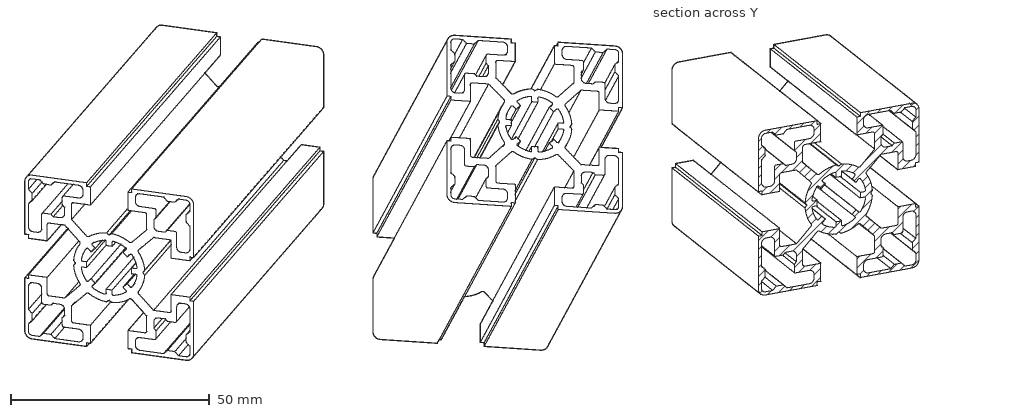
import cadquery as cq
import math

LENGTH = 100.0
WIDTH = 45.0
HALF_WIDTH = WIDTH / 2
CORNER_RADIUS = 2.0

SLOT_HALF_OPENING = 5.0
SLOT_HALF_CAVITY = 10.0
LIP_THICKNESS = 6.0
LIP_STEP = 1.0
CAVITY_RADIUS = 0.5
LIP_INNER_FACE = HALF_WIDTH - LIP_THICKNESS

SKIN = 1.0
CHAMBER_WALL = HALF_WIDTH - SKIN
CHAMBER_INNER_RADIUS = CORNER_RADIUS - SKIN
ARM_HEIGHT = 3.5
ARM_END = SLOT_HALF_OPENING + 2.0
ARM_FLOOR = CHAMBER_WALL - ARM_HEIGHT
ARM_END_RADIUS = 1.2
SHOULDER_FACE = 12.5
SHOULDER_END = 15.5
SHOULDER_RADIUS = 0.5
CHAMBER_FLOOR = 11.9
CHAMBER_FLOOR_RADIUS = 1.2

PAD_HALF_WIDTH = 1.0
PAD_HEIGHT = 1.0

TUBE_RADIUS = 9.5
BORE_RADIUS = 7.5
WEB_THICKNESS = 2.6
WEB_ANGLE = 45
WEB_ROOT_RADIUS = 0.5
RIB_COUNT = 8
RIB_TIP = 6.0
RIB_HALF_WIDTH = 0.8
RIB_ROOT_RADIUS = 0.3
GROOVE_HALF_WIDTH = 0.7
GROOVE_DEPTH = 0.5

SLOT_COUNT = 4
AXIS_START = (0, 0, 0)
AXIS_END = (0, 1, 0)


def bar(outline):
    """Extrude a closed outline of (x, z) points along the full length in Y."""
    return cq.Workplane("XZ").polyline(outline).close().extrude(LENGTH / 2, both=True)


def mirrored_outline(points):
    """Close a run between two points on the x = z diagonal with its mirror image."""
    return points + [(z, x) for x, z in points[-2:0:-1]]


def round_edges(body, points, radius):
    """Fillet the lengthwise edges passing through the given (x, z) points."""
    for x, z in points:
        body = body.edges(cq.selectors.NearestToPointSelector((x, 0, z))).fillet(radius)
    return body


def both_sides(x, z):
    """Return a point and its mirror image across the x = z diagonal."""
    return [(x, z), (z, x)]


def repeat_around(body, count):
    """Unite equally spaced copies of a body turned about the Y axis."""
    pattern = body
    for index in range(1, count):
        pattern = pattern.union(body.rotate(AXIS_START, AXIS_END, index * 360 / count))
    return pattern


def junction_points(radius, half_width, count, first_angle):
    """Return the points where the sides of radial bars meet a circle about the Y axis."""
    offset = math.asin(half_width / radius)
    points = []
    for index in range(count):
        middle = math.radians(first_angle + index * 360 / count)
        for angle in (middle - offset, middle + offset):
            points.append((radius * math.cos(angle), radius * math.sin(angle)))
    return points


def corner_block():
    block = bar(mirrored_outline([
        (HALF_WIDTH, HALF_WIDTH),
        (SLOT_HALF_OPENING + LIP_STEP, HALF_WIDTH),
        (SLOT_HALF_OPENING + LIP_STEP, HALF_WIDTH - LIP_STEP),
        (SLOT_HALF_OPENING, HALF_WIDTH - LIP_STEP),
        (SLOT_HALF_OPENING, LIP_INNER_FACE),
        (SLOT_HALF_CAVITY, LIP_INNER_FACE),
        (SLOT_HALF_CAVITY, SLOT_HALF_CAVITY),
    ]))
    block = round_edges(block, both_sides(SLOT_HALF_CAVITY, LIP_INNER_FACE), CAVITY_RADIUS)
    return round_edges(block, [(HALF_WIDTH, HALF_WIDTH)], CORNER_RADIUS)


def corner_chamber():
    shoulder_rise = SHOULDER_FACE - CHAMBER_FLOOR
    chamber = bar(mirrored_outline([
        (CHAMBER_WALL, CHAMBER_WALL),
        (LIP_INNER_FACE + PAD_HALF_WIDTH + PAD_HEIGHT, CHAMBER_WALL),
        (LIP_INNER_FACE + PAD_HALF_WIDTH, CHAMBER_WALL - PAD_HEIGHT),
        (LIP_INNER_FACE - PAD_HALF_WIDTH, CHAMBER_WALL - PAD_HEIGHT),
        (LIP_INNER_FACE - PAD_HALF_WIDTH - PAD_HEIGHT, CHAMBER_WALL),
        (ARM_END, CHAMBER_WALL),
        (ARM_END, ARM_FLOOR),
        (SHOULDER_FACE, ARM_FLOOR),
        (SHOULDER_FACE, SHOULDER_END),
        (CHAMBER_FLOOR, SHOULDER_END - shoulder_rise),
        (CHAMBER_FLOOR, CHAMBER_FLOOR),
    ]))
    arm_corners = both_sides(ARM_END, CHAMBER_WALL) + both_sides(ARM_END, ARM_FLOOR)
    chamber = round_edges(chamber, arm_corners, ARM_END_RADIUS)
    chamber = round_edges(chamber, both_sides(SHOULDER_FACE, ARM_FLOOR), SHOULDER_RADIUS)
    chamber = round_edges(chamber, [(CHAMBER_WALL, CHAMBER_WALL)], CHAMBER_INNER_RADIUS)
    return round_edges(chamber, [(CHAMBER_FLOOR, CHAMBER_FLOOR)], CHAMBER_FLOOR_RADIUS)


def diagonal_web():
    inner_end = (TUBE_RADIUS + BORE_RADIUS) / 2
    outer_end = SLOT_HALF_CAVITY * math.sqrt(2) + WEB_THICKNESS / 2
    half = WEB_THICKNESS / 2
    web = bar([(-half, inner_end), (half, inner_end), (half, outer_end), (-half, outer_end)])
    return web.rotate(AXIS_START, AXIS_END, WEB_ANGLE)


def tube_rib():
    root = (TUBE_RADIUS + BORE_RADIUS) / 2
    return bar([
        (-RIB_HALF_WIDTH, RIB_TIP),
        (RIB_HALF_WIDTH, RIB_TIP),
        (RIB_HALF_WIDTH, root),
        (-RIB_HALF_WIDTH, root),
    ])


def marking_groove():
    rim = math.sqrt(TUBE_RADIUS**2 - GROOVE_HALF_WIDTH**2)
    return bar([
        (0, TUBE_RADIUS - GROOVE_DEPTH),
        (GROOVE_HALF_WIDTH, rim),
        (GROOVE_HALF_WIDTH, TUBE_RADIUS),
        (-GROOVE_HALF_WIDTH, TUBE_RADIUS),
        (-GROOVE_HALF_WIDTH, rim),
    ])


def core_tube():
    tube = cq.Workplane("XZ").circle(TUBE_RADIUS).circle(BORE_RADIUS).extrude(LENGTH / 2, both=True)
    tube = tube.cut(repeat_around(marking_groove(), SLOT_COUNT))
    tube = tube.union(repeat_around(tube_rib(), RIB_COUNT))
    rib_roots = junction_points(BORE_RADIUS, RIB_HALF_WIDTH, RIB_COUNT, 0)
    return round_edges(tube, rib_roots, RIB_ROOT_RADIUS)


corner = corner_block().cut(corner_chamber()).union(diagonal_web())
profile = core_tube().union(repeat_around(corner, SLOT_COUNT))
web_roots = junction_points(TUBE_RADIUS, WEB_THICKNESS / 2, SLOT_COUNT, WEB_ANGLE)
result = round_edges(profile, web_roots, WEB_ROOT_RADIUS)